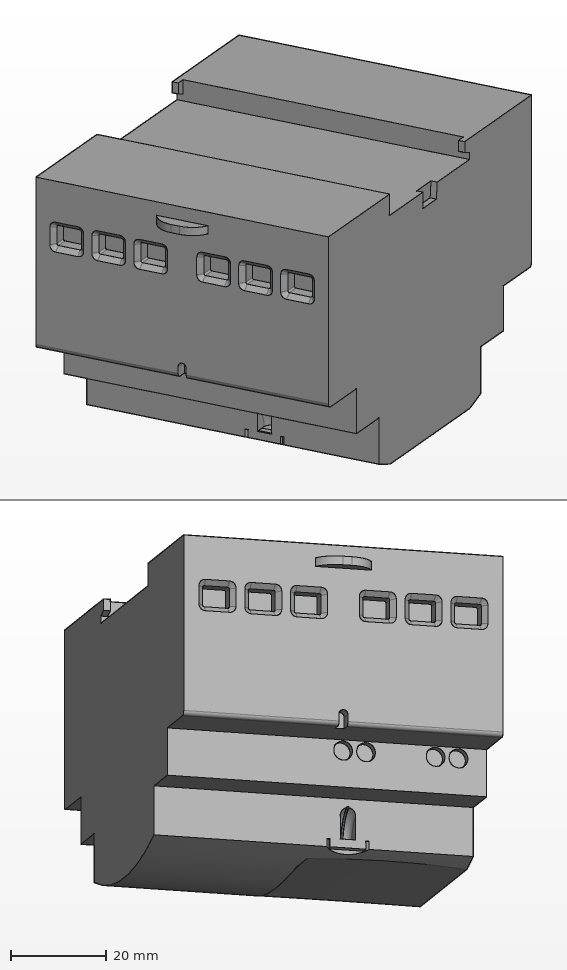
import cadquery as cq
import math


width = 70.0
overall_depth = 92.9
depth = 89.9
height = 63.9
shoulder_z = 25.0
shoulder_fillet = 0.9
step_depth = 65.05
step_z = 14.8
nose_depth = 45.0
nose_corner_z = 4.2
front_y = -depth / 2
step_front_y = -step_depth / 2
nose_front_y = -nose_depth / 2

channel_front_y = -17.8
channel_back_y = 17.5
channel_floor_z = height - 4.8
lip_overhang = 2.1
lip_length = 1.5
lip_thickness = 2.5
lip_slope = 0.7

hook_width = 14.1
hook_reach = 2.9
hook_neck = 1.5
hook_top_z = height - 0.3
hook_tip_top_z = height - 2.5
hook_tip_bottom_z = height - 3.4
hook_neck_z = height - 3.8

tab_width = 12.3
tab_reach = overall_depth - depth
tab_flat = 2.0
tab_top_z = height - 3.1
tab_thickness = 1.9

terminal_offset = 7.5
terminal_pitch = 10.0
terminals_per_side = 3
terminal_z = 51.2
mouth_width = 8.1
mouth_height = 6.8
mouth_radius = 1.4
mouth_bevel = 1.1
throat_radius = 0.4
throat_depth = 4.0

notch_width = 1.95
notch_top_z = 28.4
notch_depth = 2.8

hole_diameter = 4.1
hole_z = 22.7
hole_depth = 1.9
hole_xs = (3.5, 8.55, 23.8, 28.8)

end_pocket_inset = 1.5
end_pocket_half_length = 3.2
end_pocket_depth = 3.7
end_pocket_draft = 0.4

relief_start_x = -1.8
relief_corner_x = 0.0
relief_z = 2.5
relief_crown = 0.4
ramp_sagitta = 0.3

grip_x = terminal_offset
groove_bottom_z = 6.0
groove_height = 6.9
groove_radius = 1.7
groove_axis_gap = 2.8
slit_width = 0.5
slit_extra = 0.2
cavity_width = 9.3
cavity_depth = 2.3
cavity_top_z = 5.95
flap_width = 7.8
flap_thickness = 0.7


def extrude_along_x(profile, x_start, length):
    """Extrude a closed (Y, Z) sketch along +X from x_start."""
    return profile.extrude(length).translate((x_start, 0, 0))


def housing():
    profile = (
        cq.Workplane("YZ")
        .moveTo(-depth / 2, height)
        .lineTo(-depth / 2, shoulder_z)
        .lineTo(-step_depth / 2, shoulder_z)
        .lineTo(-step_depth / 2, step_z)
        .lineTo(-nose_depth / 2, step_z)
        .lineTo(-nose_depth / 2, nose_corner_z)
        .threePointArc((0, 0), (nose_depth / 2, nose_corner_z))
        .lineTo(nose_depth / 2, step_z)
        .lineTo(step_depth / 2, step_z)
        .lineTo(step_depth / 2, shoulder_z)
        .lineTo(depth / 2, shoulder_z)
        .lineTo(depth / 2, height)
        .close()
    )
    body = extrude_along_x(profile, -width / 2, width)
    for side in (-1, 1):
        edge = cq.selectors.NearestToPointSelector((0, side * depth / 2, shoulder_z))
        body = body.edges(edge).fillet(shoulder_fillet)
    return body


def rail_channel():
    return cq.Workplane("XY").box(
        width, channel_back_y - channel_front_y, height - channel_floor_z, centered=(True, False, False)
    ).translate((0, channel_front_y, channel_floor_z))


def rear_lip(x_start):
    lip_y = channel_back_y - lip_overhang
    lip_bottom_z = height - lip_thickness
    profile = cq.Workplane("YZ").polyline([
        (channel_back_y, height),
        (lip_y, height),
        (lip_y, lip_bottom_z),
        (channel_back_y, lip_bottom_z - lip_slope),
    ]).close()
    return extrude_along_x(profile, x_start, lip_length)


def spring_hook():
    tip_y = channel_front_y + hook_reach
    neck_y = channel_front_y + hook_neck
    profile = cq.Workplane("YZ").polyline([
        (channel_front_y, channel_floor_z),
        (channel_front_y, hook_top_z),
        (tip_y, hook_tip_top_z),
        (tip_y, hook_tip_bottom_z),
        (neck_y, hook_neck_z),
        (neck_y, channel_floor_z),
    ]).close()
    return extrude_along_x(profile, -hook_width / 2, hook_width)


def release_tab():
    flank = (tab_width - tab_flat) / 2
    flank_radius = (flank**2 + tab_reach**2) / (2 * tab_reach)
    half_angle = math.asin(flank / flank_radius) / 2
    mid_x = tab_flat / 2 + flank_radius * math.sin(half_angle)
    tip_y = front_y - tab_reach
    mid_y = tip_y + flank_radius * (1 - math.cos(half_angle))
    return (
        cq.Workplane("XY", origin=(0, 0, tab_top_z - tab_thickness))
        .moveTo(-tab_width / 2, front_y)
        .threePointArc((-mid_x, mid_y), (-tab_flat / 2, tip_y))
        .lineTo(tab_flat / 2, tip_y)
        .threePointArc((mid_x, mid_y), (tab_width / 2, front_y))
        .close()
        .extrude(tab_thickness)
    )


def terminal_opening(x):
    throat_width = mouth_width - 2 * mouth_bevel
    throat_height = mouth_height - 2 * mouth_bevel
    face = cq.Workplane("XZ", origin=(x, front_y, terminal_z))
    mouth_sketch = cq.Sketch().rect(mouth_width, mouth_height).vertices().fillet(mouth_radius)
    throat_sketch = cq.Sketch().rect(throat_width, throat_height).vertices().fillet(throat_radius)
    mouth = face.placeSketch(
        mouth_sketch, throat_sketch.moved(cq.Location(cq.Vector(0, 0, -mouth_bevel)))
    ).loft()
    throat = face.placeSketch(throat_sketch).extrude(-throat_depth)
    return mouth.union(throat)


def edge_notch():
    radius = notch_width / 2
    arch_z = notch_top_z - radius
    return (
        cq.Workplane("XZ", origin=(0, front_y, 0))
        .moveTo(-radius, shoulder_z)
        .lineTo(-radius, arch_z)
        .threePointArc((0, notch_top_z), (radius, arch_z))
        .lineTo(radius, shoulder_z)
        .close()
        .extrude(-notch_depth)
    )


def step_hole(x):
    face = cq.Workplane("XZ", origin=(x, step_front_y, hole_z))
    return face.circle(hole_diameter / 2).extrude(-hole_depth)


def end_pocket():
    floor_z = channel_floor_z - end_pocket_depth
    profile = cq.Workplane("YZ").polyline([
        (-end_pocket_half_length, channel_floor_z),
        (-end_pocket_half_length, floor_z),
        (end_pocket_half_length - end_pocket_draft, floor_z),
        (end_pocket_half_length, channel_floor_z),
    ]).close()
    return extrude_along_x(profile, width / 2 - end_pocket_inset, end_pocket_inset)


def nose_relief():
    run = relief_corner_x - relief_start_x
    ramp_length = math.hypot(run, relief_z)
    ramp_mid = (
        relief_start_x + run / 2 - ramp_sagitta * relief_z / ramp_length,
        relief_z / 2 + ramp_sagitta * run / ramp_length,
    )
    crown_x = (relief_corner_x + width / 2) / 2
    return (
        cq.Workplane("XZ")
        .moveTo(relief_start_x, 0)
        .threePointArc(ramp_mid, (relief_corner_x, relief_z))
        .threePointArc((crown_x, relief_z + relief_crown), (width / 2, relief_z))
        .lineTo(width / 2, 0)
        .close()
        .extrude(nose_depth / 2, both=True)
    )


def finger_groove():
    axis_y = nose_front_y - groove_axis_gap
    outer_radius = math.hypot(groove_height, groove_axis_gap)
    ring_radius = outer_radius - groove_radius
    ring = cq.Workplane(
        cq.Solid.makeTorus(
            ring_radius, groove_radius, cq.Vector(grip_x, axis_y, groove_bottom_z), cq.Vector(1, 0, 0)
        )
    )
    axis_plane = cq.Workplane("YZ", origin=(grip_x, axis_y, groove_bottom_z))
    core = axis_plane.circle(ring_radius).extrude(groove_radius, both=True)
    slit = axis_plane.circle(outer_radius + slit_extra).extrude(slit_width / 2, both=True)
    upper_half = cq.Workplane("XY").box(
        2 * groove_radius, 4 * outer_radius, 2 * outer_radius, centered=(True, True, False)
    ).translate((grip_x, axis_y, groove_bottom_z))
    return ring.union(core).union(slit).intersect(upper_half)


def flap_cavity():
    segment = (
        cq.Workplane("XY")
        .moveTo(grip_x - cavity_width / 2, nose_front_y)
        .threePointArc((grip_x, nose_front_y + cavity_depth), (grip_x + cavity_width / 2, nose_front_y))
        .close()
        .extrude(cavity_top_z)
    )
    flap = cq.Workplane("XY").box(
        flap_width, flap_thickness, cavity_top_z, centered=(True, False, False)
    ).translate((grip_x, nose_front_y, 0))
    return segment.cut(flap)


result = housing().cut(rail_channel())
result = result.union(rear_lip(-width / 2)).union(rear_lip(width / 2 - lip_length))
result = result.union(spring_hook()).union(release_tab())

for side in (-1, 1):
    for index in range(terminals_per_side):
        result = result.cut(terminal_opening(side * (terminal_offset + index * terminal_pitch)))

for x in hole_xs:
    result = result.cut(step_hole(x))

result = result.cut(edge_notch()).cut(end_pocket())
result = result.cut(nose_relief()).cut(finger_groove()).cut(flap_cavity())